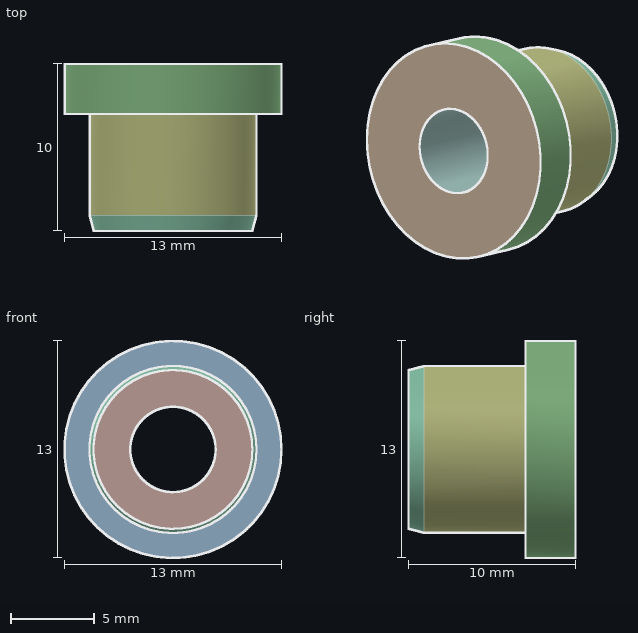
import cadquery as cq

flange_diameter = 13.0
body_diameter = 10.0
bore_diameter = 5.1
total_length = 10.0
flange_thickness = 3.0
lead_in_length = 0.94
lead_in_depth = 0.25

flange_radius = flange_diameter / 2
body_radius = body_diameter / 2
bore_radius = bore_diameter / 2
tip_radius = body_radius - lead_in_depth
shoulder_y = total_length - flange_thickness

half_section = [
    (bore_radius, 0),
    (tip_radius, 0),
    (body_radius, lead_in_length),
    (body_radius, shoulder_y),
    (flange_radius, shoulder_y),
    (flange_radius, total_length),
    (bore_radius, total_length),
]

result = (
    cq.Workplane("XY")
    .polyline(half_section)
    .close()
    .revolve(360, (0, 0, 0), (0, 1, 0))
)